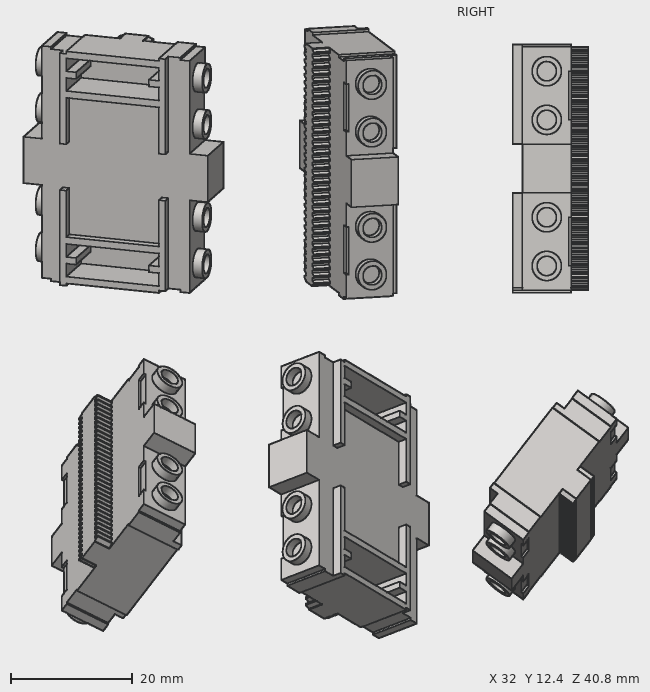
import cadquery as cq

body_width = 25.62
body_depth = 8.0
body_height = 40.0
front_face = -body_depth / 2
back_face = body_depth / 2

tab_span = 32.0
tab_height = 8.0

frame_depth = 1.6
frame_front = front_face - frame_depth
frame_inner_width = 16.08
frame_outer_width = 18.28
frame_rail_height = (body_height - tab_height) / 2
bar_thickness = 1.2
window_height = 5.65
cross_bar_center = body_height / 2 - window_height - 1.5 * bar_thickness

window_center = body_height / 2 - bar_thickness - window_height / 2
window_back_wall = 2.0
window_depth = back_face - window_back_wall - frame_front
rib_length = 1.7
rib_thickness = 1.15

strip_inner = frame_inner_width / 2
strip_outer = 11.2
strip_shift = 0.4

peg_diameter = 4.8
peg_bore = 3.2
peg_length = 1.65
peg_bore_depth = peg_length
peg_heights = (8.0, 16.0)

recess_depth = 0.4
recess_width = body_width / 2 - strip_outer

rail_depth = 2.8
rail_root = 2.02
rail_tip = 2.9
tooth_count = 33
tooth_pitch = body_height / tooth_count
root_flat = 0.345
flank_height = 0.305


def block(x_range, y_range, z_range):
    """Axis-aligned box given by its limits along X, Y and Z."""
    (x0, x1), (y0, y1), (z0, z1) = x_range, y_range, z_range
    return cq.Workplane("XY").box(x1 - x0, y1 - y0, z1 - z0, centered=False).translate((x0, y0, z0))


def centered_range(center, size):
    return (center - size / 2, center + size / 2)


def side_range(side, inner, outer):
    """Range between two distances from the middle, on the chosen side (-1 or 1)."""
    return tuple(sorted((side * inner, side * outer)))


def make_body():
    depth_range = (front_face, back_face)
    body = block(centered_range(0, body_width), depth_range, centered_range(0, body_height))
    tabs = block(centered_range(0, tab_span), depth_range, centered_range(0, tab_height))
    return body.union(tabs)


def add_frame(part):
    y_range = (frame_front, front_face)
    bar_x = centered_range(0, frame_outer_width)
    for end in (-1, 1):
        outer_bar_center = end * (body_height - bar_thickness) / 2
        for center in (outer_bar_center, end * cross_bar_center):
            part = part.union(block(bar_x, y_range, centered_range(center, bar_thickness)))
        rail_z = side_range(end, tab_height / 2, tab_height / 2 + frame_rail_height)
        for side in (-1, 1):
            rail_x = side_range(side, frame_inner_width / 2, frame_outer_width / 2)
            part = part.union(block(rail_x, y_range, rail_z))
    return part


def cut_windows(part):
    half_width = frame_inner_width / 2
    y_range = (frame_front, frame_front + window_depth)
    for end in (-1, 1):
        center = end * window_center
        pocket = block((-half_width, half_width), y_range, centered_range(center, window_height))
        part = part.cut(pocket)
        for side in (-1, 1):
            rib_x = side_range(side, half_width - rib_length, half_width)
            part = part.union(block(rib_x, y_range, centered_range(center, rib_thickness)))
    return part


def shift_strips(part):
    """Move the ends of each strip by the same step: add at one end, remove at the other."""
    half_height = body_height / 2
    for side in (-1, 1):
        strip_x = side_range(side, strip_inner, strip_outer)
        body_y = (front_face, back_face)
        frame_x = side_range(side, strip_inner, frame_outer_width / 2)
        frame_y = (frame_front, front_face)
        added_z = side_range(side, half_height, half_height + strip_shift)
        removed_z = side_range(-side, half_height - strip_shift, half_height)
        for x_range, y_range in ((strip_x, body_y), (frame_x, frame_y)):
            part = part.union(block(x_range, y_range, added_z))
            part = part.cut(block(x_range, y_range, removed_z))
    return part


def cut_back_recesses(part):
    y_range = (back_face - recess_depth, back_face)
    for side in (-1, 1):
        x_range = side_range(side, body_width / 2 - recess_width, body_width / 2)
        for end in (-1, 1):
            part = part.cut(block(x_range, y_range, side_range(end, *peg_heights)))
    return part


def add_pegs(part):
    peg_end = body_width / 2 + peg_length
    for side in (-1, 1):
        for end in (-1, 1):
            for height in peg_heights:
                face = cq.Workplane("YZ", origin=(side * peg_end, 0, end * height))
                part = part.union(face.circle(peg_diameter / 2).extrude(-side * peg_length))
                part = part.cut(face.circle(peg_bore / 2).extrude(-side * peg_bore_depth))
    return part


def make_toothed_rail():
    """Rail with trapezoidal teeth along both sides."""
    half_base = (tooth_pitch - root_flat) / 2
    half_tip = half_base - flank_height
    right_side = [(rail_root, -body_height / 2)]
    for index in range(tooth_count):
        tooth_center = (index + 0.5) * tooth_pitch - body_height / 2
        right_side += [
            (rail_root, tooth_center - half_base),
            (rail_tip, tooth_center - half_tip),
            (rail_tip, tooth_center + half_tip),
            (rail_root, tooth_center + half_base),
        ]
    right_side.append((rail_root, body_height / 2))
    left_side = [(-x, z) for x, z in reversed(right_side)]
    back_plane = cq.Workplane("XZ", origin=(0, back_face, 0))
    return back_plane.polyline(right_side + left_side).close().extrude(-rail_depth)


result = add_frame(make_body())
result = cut_windows(result)
result = shift_strips(result)
result = cut_back_recesses(result)
result = add_pegs(result)
result = result.union(make_toothed_rail())